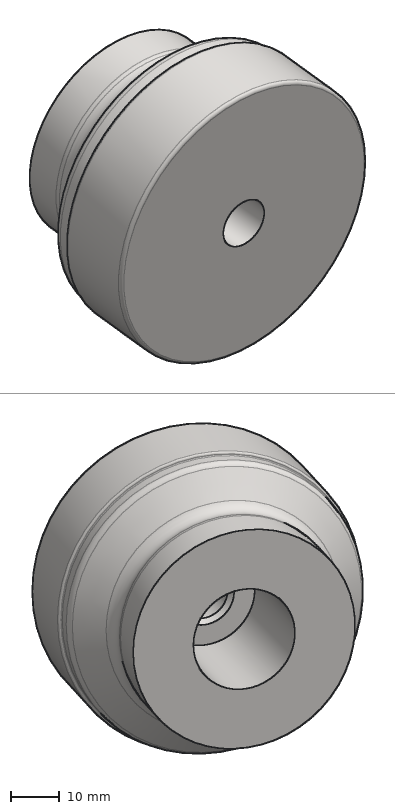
import cadquery as cq
import math

length = 40.0
blend_start = 8.4
shoulder_x = 22.4

rim_radius = 32.9
collar_radius = 32.1
hub_radius = 24.0
neck_radius = 23.75

cone_angle = math.radians(54)
neck_fillet = 4.0
collar_fillet = 2.0
back_fillet = 0.8
shoulder_fillet = 0.5
root_fillet = 0.2

bore_radius = 11.0
bore_depth = 26.3
hole_radius = 5.45
hole_chamfer = 1.05


def arc_point(center, radius, angle):
    """Point on a circle, with the angle measured from +X towards larger radius."""
    return (center[0] + radius * math.cos(angle), center[1] + radius * math.sin(angle))


half_dip = (hub_radius - neck_radius) / 2
dip_angle = math.acos(1 - half_dip / neck_fillet)
neck_x = blend_start + 2 * neck_fillet * math.sin(dip_angle)
up = math.pi / 2
blend_center = (blend_start, hub_radius - neck_fillet)
neck_center = (neck_x, neck_radius + neck_fillet)
blend_middle = arc_point(blend_center, neck_fillet, up - dip_angle / 2)
blend_end = arc_point(blend_center, neck_fillet, up - dip_angle)

neck_bottom = (neck_x, neck_radius)
cone_start = arc_point(neck_center, neck_fillet, cone_angle - up)

round_center_radius = collar_radius - collar_fillet
cone_end_radius = round_center_radius + collar_fillet * math.cos(cone_angle)
cone_end_x = cone_start[0] + (cone_end_radius - cone_start[1]) / math.tan(cone_angle)
round_center = (cone_end_x + collar_fillet * math.sin(cone_angle), round_center_radius)
cone_end = (cone_end_x, cone_end_radius)
round_middle = arc_point(round_center, collar_fillet, up + cone_angle / 2)
round_end = (round_center[0], collar_radius)


def make_body():
    """Outer shape without the bore, revolved about X."""
    return (
        cq.Workplane("XY")
        .lineTo(0, hub_radius)
        .lineTo(blend_start, hub_radius)
        .threePointArc(blend_middle, blend_end)
        .threePointArc(neck_bottom, cone_start)
        .lineTo(*cone_end)
        .threePointArc(round_middle, round_end)
        .lineTo(shoulder_x - root_fillet, collar_radius)
        .radiusArc((shoulder_x, collar_radius + root_fillet), -root_fillet)
        .lineTo(shoulder_x, rim_radius - shoulder_fillet)
        .radiusArc((shoulder_x + shoulder_fillet, rim_radius), shoulder_fillet)
        .lineTo(length - back_fillet, rim_radius)
        .radiusArc((length, rim_radius - back_fillet), back_fillet)
        .lineTo(length, 0)
        .close()
        .revolve(360, (0, 0, 0), (1, 0, 0))
    )


def make_bore():
    """Bore open at the hub end, stepping down to a chamfered through hole."""
    chamfer_end = bore_depth + hole_chamfer
    return (
        cq.Workplane("XY")
        .lineTo(0, bore_radius)
        .lineTo(bore_depth, bore_radius)
        .lineTo(bore_depth, hole_radius + hole_chamfer)
        .lineTo(chamfer_end, hole_radius)
        .lineTo(length, hole_radius)
        .lineTo(length, 0)
        .close()
        .revolve(360, (0, 0, 0), (1, 0, 0))
    )


result = make_body().cut(make_bore())